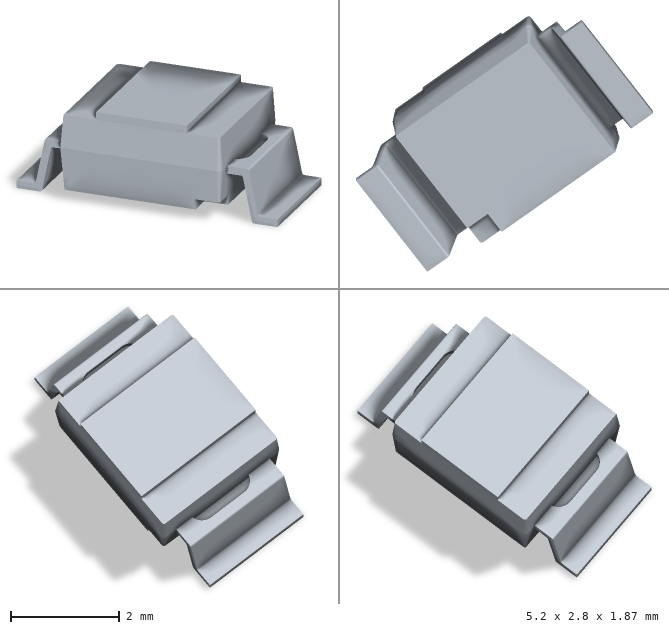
import cadquery as cq
import math

overall_length = 5.2
overall_height = 1.87

body_length = 3.205
body_width = 2.8
body_bottom = 0.22
parting_height = 1.07
body_top = 1.72
draft_angle = 4.0
corner_radius = 0.095

cap_length = 1.81
cap_width = body_width - 2 * (body_top - parting_height) * math.tan(math.radians(draft_angle))

lead_thickness = 0.15
lead_width = 2.215
lead_center_y = 0.02
shoulder_x = 2.03
lean_angle = 11.8
bend_radius = 0.045
lead_embed = 0.21

recess_end_x = 1.82
recess_width = 1.34
recess_radius = 0.28
recess_center_y = -0.04
recess_depth = 0.135

notch_x = 1.045
notch_height = 0.21
notch_depth = 0.52
notch_taper = 7.0
notch_overrun = 0.52


def body_half(height, direction):
    """Drafted half of the body, extruded away from the parting plane."""
    outline = (
        cq.Workplane("XY")
        .rect(body_length, body_width)
        .extrude(height)
        .edges("|Z and (>X or >Y)")
        .fillet(corner_radius)
        .faces("<Z")
        .wires()
        .val()
    )
    half = cq.Workplane("XY").add(outline).toPending().extrude(height, taper=draft_angle)
    if direction < 0:
        half = half.mirror("XY")
    return half.translate((0, 0, parting_height))


def right_lead():
    """Lead on the +X side: shoulder, leaning leg and foot, with a recessed shoulder."""
    lean = math.radians(lean_angle)
    leg_thickness = lead_thickness / math.cos(lean)
    bend_drop = parting_height - lead_thickness
    bend_shift = bend_drop * math.tan(lean)
    thickness_shift = lead_thickness * math.tan(lean)
    root_x = body_length / 2 - lead_embed
    inner_top_x = shoulder_x + thickness_shift - leg_thickness
    inner_foot_x = shoulder_x + bend_shift + thickness_shift - leg_thickness
    profile = [
        (root_x, parting_height),
        (shoulder_x, parting_height),
        (shoulder_x + bend_shift, lead_thickness),
        (overall_length / 2, lead_thickness),
        (overall_length / 2, 0),
        (inner_foot_x, 0),
        (inner_top_x, bend_drop),
        (root_x, bend_drop),
    ]
    strip = cq.Workplane("XZ").polyline(profile).close().extrude(lead_width / 2, both=True)
    bend_zone = cq.selectors.BoxSelector(
        (root_x + lead_embed, -lead_width, -lead_thickness),
        (overall_length / 2 - lead_thickness, lead_width, overall_height),
    )
    strip = strip.edges("|Y").edges(bend_zone).fillet(bend_radius)
    strip = strip.translate((0, lead_center_y, 0))

    body_x = body_length / 2
    wall_shift = recess_depth * math.tan(math.radians(draft_angle))
    recess_floor = parting_height - recess_depth
    recess_profile = [
        (body_x, parting_height),
        (recess_end_x, parting_height),
        (recess_end_x, recess_floor),
        (body_x + wall_shift, recess_floor),
    ]
    blank_length = 2 * recess_radius
    blank = (
        cq.Workplane("XY")
        .box(blank_length, recess_width, recess_depth, centered=(False, True, False))
        .edges("|Z and >X")
        .fillet(recess_radius)
        .translate((recess_end_x - blank_length, 0, recess_floor))
    )
    wedge = cq.Workplane("XZ").polyline(recess_profile).close().extrude(recess_width / 2, both=True)
    recess = wedge.intersect(blank).translate((0, recess_center_y, 0))
    return strip.cut(recess)


def corner_notch():
    """Cutter for the (+X, -Y) bottom corner, narrowing downward."""
    length = body_length / 2 + notch_overrun - notch_x
    width = notch_depth + notch_overrun
    return (
        cq.Workplane("XY", origin=(0, 0, body_bottom + notch_height))
        .center(notch_x + length / 2, -body_width / 2 + notch_depth - width / 2)
        .rect(length, width)
        .extrude(-notch_height, taper=notch_taper)
    )


body = body_half(body_top - parting_height, 1)
body = body.union(body_half(parting_height - body_bottom, -1))
body = body.cut(corner_notch())

cap = (
    cq.Workplane("XY", origin=(0, 0, body_top))
    .rect(cap_length, cap_width)
    .extrude(overall_height - body_top)
)

lead = right_lead()
result = body.union(cap).union(lead).union(lead.mirror("YZ"))